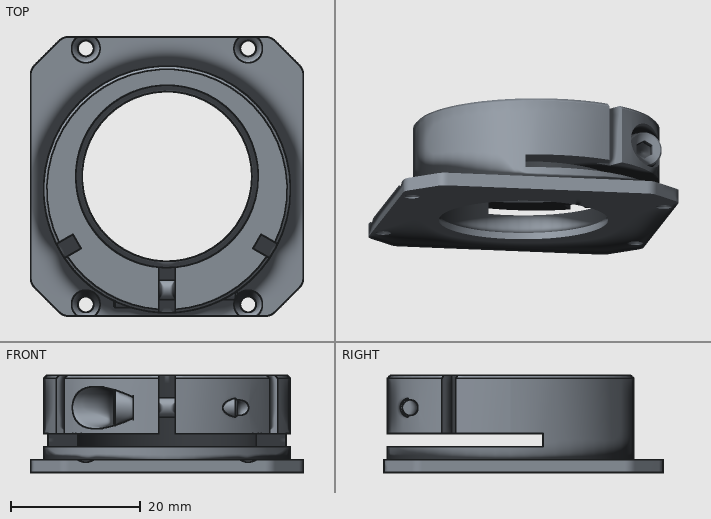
import cadquery as cq
import math

plate_x = 42.0
plate_y = 43.0
plate_thickness = 2.0
corner_cut = 5.0
corner_radius = 2.0

mount_x = 12.5
mount_y = 19.7
mount_diameter = 2.4
mount_head_diameter = 4.4
countersink_angle = 90.0

ring_diameter = 38.0
ring_center_y = -2.0
total_height = 15.0
ring_chamfer = 0.5

bore_diameter = 28.1
lip_diameter = 26.1
lip_height = 1.0

arm_gap_bottom = 4.0
arm_gap_top = 6.0
arm_root_y = 3.0
slit_width = 2.5
notch_width = 2.5
notch_inner_radius = 16.0
notch_angles = (210.0, 330.0)

screw_y = -17.45
screw_z = 10.0
screw_diameter = 3.0
screw_length = 16.0
screw_tip_chamfer = 0.3
head_seat_x = -5.2
head_diameter = 5.5
head_height = 3.0
head_chamfer = 0.25
socket_across_flats = 2.5
hex_half_angle = 30.0
socket_depth = 1.5
socket_cone_angle = 120.0

head_pocket_diameter = 6.5
clearance_diameter = 3.4
thread_hole_diameter = 2.4

ring_radius = ring_diameter / 2
arm_height = total_height - arm_gap_bottom


def cylinder_along_z(diameter, z_start, z_end, y=0.0):
    return cq.Workplane("XY", origin=(0, y, z_start)).circle(diameter / 2).extrude(z_end - z_start)


def cylinder_along_screw(diameter, x_start, x_end):
    plane = cq.Workplane("YZ", origin=(x_start, screw_y, screw_z))
    return plane.circle(diameter / 2).extrude(x_end - x_start)


def make_plate():
    """Rectangular plate with rounded corner cuts and four countersunk holes."""
    plate = cq.Workplane("XY").rect(plate_x, plate_y).extrude(plate_thickness)
    plate = plate.edges("|Z").chamfer(corner_cut)
    plate = plate.edges("|Z").fillet(corner_radius)
    hole_points = [(sx * mount_x, sy * mount_y) for sx in (-1, 1) for sy in (-1, 1)]
    plate = plate.faces(">Z").workplane(origin=(0, 0, plate_thickness)).pushPoints(hole_points)
    return plate.cskHole(mount_diameter, mount_head_diameter, countersink_angle)


def make_ring():
    """Solid ring blank with a chamfered top rim."""
    ring = cylinder_along_z(ring_diameter, plate_thickness, total_height, ring_center_y)
    return ring.faces(">Z").edges().chamfer(ring_chamfer)


def make_arm_gap():
    """Flat gap under the arms, open towards -Y."""
    gap_length = arm_root_y + plate_y / 2
    gap = cq.Workplane("XY", origin=(0, arm_root_y - gap_length / 2, arm_gap_bottom))
    return gap.rect(plate_x, gap_length).extrude(arm_gap_top - arm_gap_bottom)


def make_slit():
    """Vertical slit that parts the two arms at the -Y side."""
    slit = cq.Workplane("XY", origin=(0, -plate_y / 4, arm_gap_bottom))
    return slit.rect(slit_width, plate_y / 2).extrude(arm_height)


def make_notch(angle):
    """Radial groove in the outside of an arm, full height of the arm."""
    notch = cq.Workplane("XY", origin=(notch_inner_radius + ring_radius / 2, 0, arm_gap_bottom))
    notch = notch.rect(ring_radius, notch_width).extrude(arm_height)
    return notch.rotate((0, 0, 0), (0, 0, 1), angle).translate((0, ring_center_y, 0))


def make_socket(head_end_x):
    """Hexagon socket with a conical floor that spans the whole hexagon."""
    hexagon_radius = socket_across_flats / 2 / math.cos(math.radians(hex_half_angle))
    cone_height = hexagon_radius / math.tan(math.radians(socket_cone_angle / 2))
    full_depth = socket_depth + cone_height
    hexagon = cq.Workplane("YZ", origin=(head_end_x, screw_y, screw_z))
    hexagon = hexagon.transformed(rotate=(0, 0, hex_half_angle))
    hexagon = hexagon.polygon(6, 2 * hexagon_radius).extrude(full_depth)
    drilled = cq.Workplane("XY", origin=(head_end_x, screw_y, screw_z))
    drilled = drilled.polyline(
        [(0, 0), (0, hexagon_radius), (socket_depth, hexagon_radius), (full_depth, 0)]
    ).close()
    return hexagon.intersect(drilled.revolve(360, (0, 0, 0), (1, 0, 0)))


def make_screw():
    """Socket head cap screw with its head in the -X arm."""
    head_end_x = head_seat_x - head_height
    shank = cylinder_along_screw(screw_diameter, head_seat_x, head_seat_x + screw_length)
    shank = shank.faces(">X").edges().chamfer(screw_tip_chamfer)
    head = cylinder_along_screw(head_diameter, head_end_x, head_seat_x)
    head = head.faces("<X").edges().chamfer(head_chamfer)
    return shank.union(head).cut(make_socket(head_end_x))


body = make_plate().union(make_ring())
body = body.cut(cylinder_along_z(lip_diameter, 0, total_height))
body = body.cut(cylinder_along_z(bore_diameter, lip_height, total_height))

body = body.cut(make_arm_gap()).cut(make_slit())
for notch_angle in notch_angles:
    body = body.cut(make_notch(notch_angle))

body = body.cut(cylinder_along_screw(head_pocket_diameter, -ring_radius, head_seat_x))
body = body.cut(cylinder_along_screw(clearance_diameter, head_seat_x, 0))
body = body.cut(cylinder_along_screw(thread_hole_diameter, 0, ring_radius))

result = body.union(make_screw())